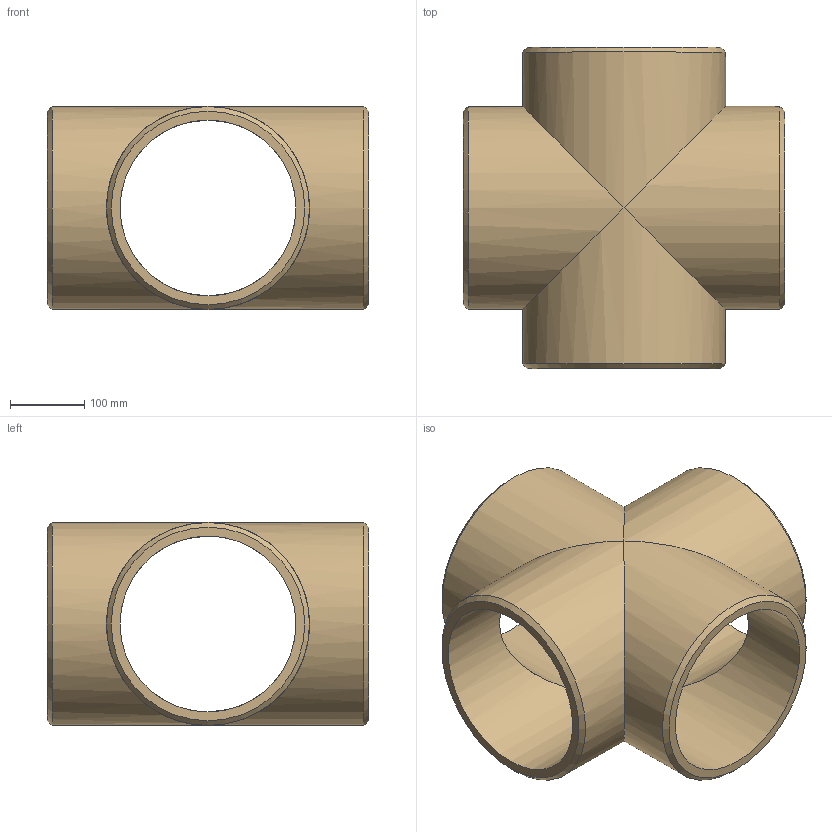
import cadquery as cq

end_to_end = 431.8
outer_diameter = 273.05
wall_thickness = 18.26
end_chamfer = 6.35

bore_diameter = outer_diameter - 2 * wall_thickness


def rod_along(plane, diameter):
    """Solid round bar centred on the origin, along the normal of the given plane."""
    return cq.Workplane(plane).circle(diameter / 2).extrude(end_to_end / 2, both=True)


def chamfered_run(plane):
    """Outer body of one straight run, with both end rims chamfered."""
    return rod_along(plane, outer_diameter).edges("%CIRCLE").chamfer(end_chamfer)


run_planes = ("YZ", "XZ")

result = chamfered_run(run_planes[0]).union(chamfered_run(run_planes[1]))
for run_plane in run_planes:
    result = result.cut(rod_along(run_plane, bore_diameter))